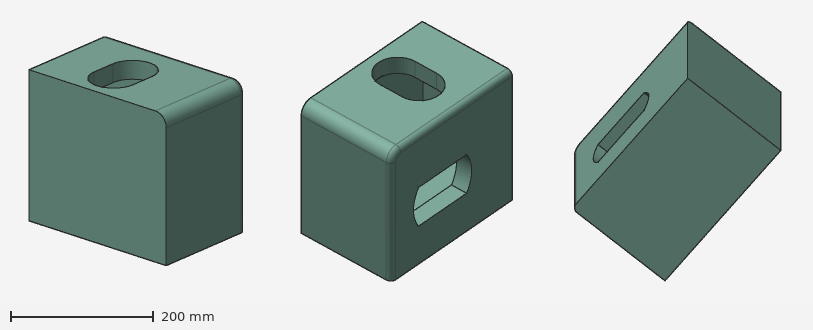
import cadquery as cq

length_x = 254.5
width_y = 169.7
height_z = 229.0
end_rounding = 20.0
side_rounding = 9.5

thick_wall = 28.5
thin_wall = 16.8

slot_width = 72.3
slot_length = 112.7
slot_x = 111.0
slot_y = 73.5

window_radius = 61.0
window_height = 68.7
window_x = 146.5
window_z = 101.8


def outer_block():
    block = cq.Workplane("XY").box(length_x, width_y, height_z, centered=False)
    block = block.edges(">X and >Z").fillet(end_rounding)
    return block.edges(">Y and >Z").edges("|X").fillet(side_rounding)


def cavity():
    size_x = length_x - 2 * thin_wall
    size_y = width_y - thin_wall - thick_wall
    size_z = height_z - 2 * thick_wall
    space = cq.Workplane("XY").box(size_x, size_y, size_z, centered=False)
    return space.translate((thin_wall, thin_wall, thick_wall))


def top_slot():
    ceiling = cq.Workplane("XY", origin=(slot_x, slot_y, height_z - thick_wall))
    return ceiling.slot2D(slot_length, slot_width, 90).extrude(thick_wall)


def window():
    outer_face = cq.Workplane("XZ", origin=(window_x, width_y, window_z))
    disc = outer_face.circle(window_radius).extrude(thick_wall)
    band = outer_face.rect(2 * window_radius, window_height).extrude(thick_wall)
    return disc.intersect(band)


result = outer_block().cut(cavity()).cut(top_slot()).cut(window())